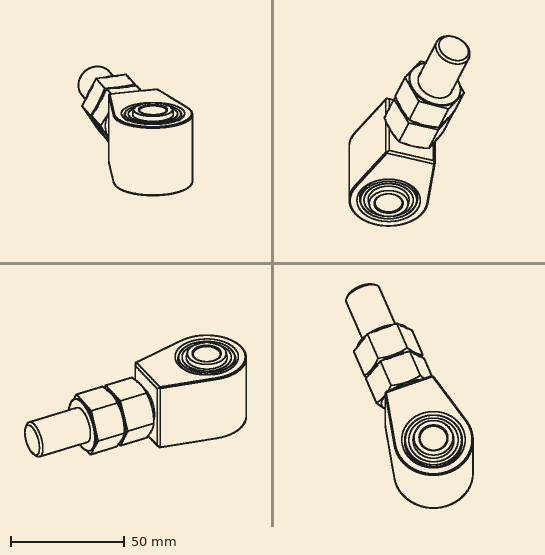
import cadquery as cq
import math


eye_radius = 17.5
housing_height = 32.4
shoulder_x = -30.4
shoulder_half_width = 11.25
shoulder_chamfer = 1.0
rim_chamfer = 0.5
seal_mouth_radius = 14.0
seal_mouth_depth = 1.2

sleeve_length = 36.0
sleeve_radius = 9.05
sleeve_end_radius = 8.6
sleeve_bore = 12.0
sleeve_bore_chamfer = 0.4

seal_radius = 12.8
seal_face_radius = 12.4
seal_sink = 0.2
seal_thickness = 3.0
seal_groove_drop = 0.2
seal_groove_outer_radius = 10.9
seal_groove_depth = 0.7

stud_diameter = 16.0
stud_end_x = -87.5
stud_end_chamfer = 1.1

nut_across_flats = 24.0
nut_length = 14.8
nut_washer_diameter = 23.8
nut_washer_length = 0.75
nut_crown_angle = 27.0
nut_face_x = -32.95
nut_turns = [0.0, 2.0]

half_height = housing_height / 2
seal_face_z = half_height - seal_sink
seal_mouth_floor_z = half_height - seal_mouth_depth
sleeve_taper_z = seal_face_z - seal_groove_drop
seal_pocket_floor_z = seal_face_z - seal_thickness


def make_housing():
    corner_distance = math.hypot(shoulder_x, shoulder_half_width)
    corner_angle = math.atan2(shoulder_half_width, shoulder_x)
    tangent_angle = corner_angle - math.acos(eye_radius / corner_distance)
    tangent_x = eye_radius * math.cos(tangent_angle)
    tangent_y = eye_radius * math.sin(tangent_angle)
    body = (
        cq.Workplane("XY", origin=(0, 0, -half_height))
        .moveTo(shoulder_x, -shoulder_half_width)
        .lineTo(tangent_x, -tangent_y)
        .threePointArc((eye_radius, 0), (tangent_x, tangent_y))
        .lineTo(shoulder_x, shoulder_half_width)
        .close()
        .extrude(housing_height)
    )
    body = body.faces("<X").edges().chamfer(shoulder_chamfer)
    rim = body.faces("<Z or >Z").edges().filter(
        lambda edge: edge.Center().x > shoulder_x + 2 * shoulder_chamfer
    )
    body = rim.chamfer(rim_chamfer)

    upper_bore = (
        cq.Workplane("XZ")
        .moveTo(0, 0)
        .lineTo(sleeve_radius, 0)
        .lineTo(sleeve_radius, seal_pocket_floor_z)
        .lineTo(seal_radius, seal_pocket_floor_z)
        .lineTo(seal_radius, seal_mouth_floor_z)
        .lineTo(seal_mouth_radius, half_height)
        .lineTo(0, half_height)
        .close()
        .revolve(360, (0, 0), (0, 1))
    )
    return body.cut(upper_bore).cut(upper_bore.mirror("XY"))


def make_sleeve():
    half_length = sleeve_length / 2
    bore_radius = sleeve_bore / 2
    chamfer_radius = bore_radius + sleeve_bore_chamfer
    chamfer_z = half_length - sleeve_bore_chamfer
    return (
        cq.Workplane("XZ")
        .moveTo(bore_radius, -chamfer_z)
        .lineTo(chamfer_radius, -half_length)
        .lineTo(sleeve_end_radius, -half_length)
        .lineTo(sleeve_radius, -sleeve_taper_z)
        .lineTo(sleeve_radius, sleeve_taper_z)
        .lineTo(sleeve_end_radius, half_length)
        .lineTo(chamfer_radius, half_length)
        .lineTo(bore_radius, chamfer_z)
        .close()
        .revolve(360, (0, 0), (0, 1))
    )


def make_upper_seal():
    groove_middle_radius = (sleeve_radius + seal_groove_outer_radius) / 2
    return (
        cq.Workplane("XZ")
        .moveTo(sleeve_radius, seal_pocket_floor_z)
        .lineTo(seal_radius, seal_pocket_floor_z)
        .lineTo(seal_radius, seal_mouth_floor_z)
        .lineTo(seal_face_radius, seal_face_z)
        .lineTo(seal_groove_outer_radius, seal_face_z)
        .threePointArc(
            (groove_middle_radius, seal_face_z - seal_groove_depth),
            (sleeve_radius, sleeve_taper_z),
        )
        .close()
        .revolve(360, (0, 0), (0, 1))
    )


def make_stud():
    return (
        cq.Workplane("YZ", origin=(stud_end_x, 0, 0))
        .circle(stud_diameter / 2)
        .extrude(shoulder_x - stud_end_x)
        .faces("<X")
        .chamfer(stud_end_chamfer)
    )


def make_nut(face_x, turn):
    corner_diameter = nut_across_flats / math.cos(math.radians(30))
    washer_radius = nut_washer_diameter / 2
    back_x = face_x - nut_length
    hexagon = (
        cq.Workplane("YZ", origin=(back_x, 0, 0))
        .polygon(6, corner_diameter)
        .extrude(nut_length)
        .rotate((0, 0, 0), (1, 0, 0), turn)
    )
    corner_radius = corner_diameter / 2
    crown_length = (corner_radius - washer_radius) * math.tan(math.radians(nut_crown_angle))
    envelope = (
        cq.Workplane("XY")
        .moveTo(back_x, stud_diameter / 2)
        .lineTo(back_x, washer_radius)
        .lineTo(back_x + nut_washer_length, washer_radius)
        .lineTo(back_x + nut_washer_length, corner_radius)
        .lineTo(face_x - crown_length, corner_radius)
        .lineTo(face_x, washer_radius)
        .lineTo(face_x, stud_diameter / 2)
        .close()
        .revolve(360, (0, 0), (1, 0))
    )
    return hexagon.intersect(envelope)


housing = make_housing()
sleeve = make_sleeve()
upper_seal = make_upper_seal()
lower_seal = upper_seal.mirror("XY")
stud = make_stud()
nuts = [make_nut(nut_face_x - i * nut_length, turn) for i, turn in enumerate(nut_turns)]

result = cq.Compound.makeCompound([
    housing.val(),
    sleeve.val(),
    upper_seal.val(),
    lower_seal.val(),
    stud.val(),
    *[nut.val() for nut in nuts],
])